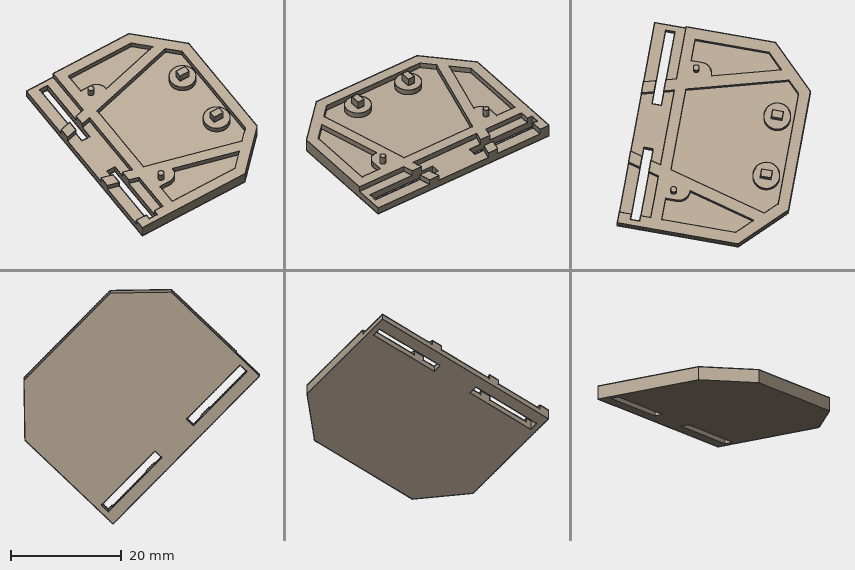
import cadquery as cq
import math

WIDTH = 38.0
DEPTH = 30.0
THICKNESS = 2.47
CORNER_CUT = 7.8
HALF_WIDTH = WIDTH / 2

FLOOR_HEIGHT = 1.4
RECESS_DEPTH = THICKNESS - FLOOR_HEIGHT
RIM = 2.0
CROSS_RIB_FRONT = 5.78
CROSS_RIB_BACK = CROSS_RIB_FRONT + RIM
RIB_ANGLE = math.radians(15.3)
RIB_SLOPE = math.tan(RIB_ANGLE)
RIB_INNER_AT_FRONT = 5.47
RIB_OUTER_AT_FRONT = RIB_INNER_AT_FRONT + RIM / math.cos(RIB_ANGLE)

TOTAL_HEIGHT = 4.0
DISC_X = 5.6
DISC_Y = 24.93
DISC_RADIUS = 2.45
KEY_WIDTH = 1.33
KEY_DEPTH = 1.98
PIN_X = 11.48
PIN_Y = 9.0
PIN_RADIUS = 0.55
PAD_SIDE_X = 12.95
PAD_TOP_Y = 11.9
PAD_RADIUS = RIM

SLOT_INNER_X = 4.1
SLOT_OUTER_X = 17.97
SLOT_FRONT_Y = 2.2
SLOT_BACK_Y = 3.9

INSET_CORNER_SUM = HALF_WIDTH + DEPTH - CORNER_CUT - RIM * math.sqrt(2)


def rib_inner_x(y):
    return RIB_INNER_AT_FRONT + RIB_SLOPE * y


def rib_outer_x(y):
    return RIB_OUTER_AT_FRONT + RIB_SLOPE * y


def inset_corner_point(rib_edge_at_front):
    """Point where an edge of the right-hand rib meets the inset corner line."""
    y = (INSET_CORNER_SUM - rib_edge_at_front) / (1 + RIB_SLOPE)
    return INSET_CORNER_SUM - y, y


def symmetric_prism(right_points, base, height):
    """Prism whose outline is the right-hand points and their mirror images."""
    left_points = [(-x, y) for x, y in reversed(right_points)]
    outline = cq.Workplane("XY", origin=(0, 0, base)).polyline(right_points + left_points)
    return outline.close().extrude(height)


def recess(points):
    outline = cq.Workplane("XY", origin=(0, 0, FLOOR_HEIGHT)).polyline(points)
    return outline.close().extrude(RECESS_DEPTH)


def box_between(x_start, x_end, y_start, y_end, base, top):
    corner_box = cq.Workplane("XY").box(x_end - x_start, y_end - y_start, top - base, centered=False)
    return corner_box.translate((x_start, y_start, base))


def central_recess():
    top_y = DEPTH - RIM
    points = [
        (rib_inner_x(CROSS_RIB_BACK), CROSS_RIB_BACK),
        inset_corner_point(RIB_INNER_AT_FRONT),
        (INSET_CORNER_SUM - top_y, top_y),
    ]
    return symmetric_prism(points, FLOOR_HEIGHT, RECESS_DEPTH)


def pin_pad():
    """Rounded pad joining the right-hand rib to the cross rib."""
    arc_x = PAD_SIDE_X - PAD_RADIUS
    arc_y = PAD_TOP_Y - PAD_RADIUS
    arc_middle = PAD_RADIUS / math.sqrt(2)
    rib_x = rib_inner_x(CROSS_RIB_BACK)
    return (
        cq.Workplane("XY", origin=(0, 0, FLOOR_HEIGHT))
        .moveTo(rib_x, CROSS_RIB_BACK)
        .lineTo(PAD_SIDE_X, CROSS_RIB_BACK)
        .lineTo(PAD_SIDE_X, arc_y)
        .threePointArc((arc_x + arc_middle, arc_y + arc_middle), (arc_x, PAD_TOP_Y))
        .lineTo(rib_x, PAD_TOP_Y)
        .close()
        .extrude(RECESS_DEPTH)
    )


def side_recess():
    """Right-hand recess between the rim and the rib, around the pin pad."""
    outer_x = HALF_WIDTH - RIM
    pocket = recess([
        (rib_outer_x(CROSS_RIB_BACK), CROSS_RIB_BACK),
        (outer_x, CROSS_RIB_BACK),
        (outer_x, INSET_CORNER_SUM - outer_x),
        inset_corner_point(RIB_OUTER_AT_FRONT),
    ])
    return pocket.cut(pin_pad())


def front_center_recess():
    points = [(rib_inner_x(0), 0), (rib_inner_x(CROSS_RIB_FRONT), CROSS_RIB_FRONT)]
    return symmetric_prism(points, FLOOR_HEIGHT, RECESS_DEPTH)


def front_side_recess(side, outer_x):
    """Front recess on one side (-1 left, +1 right), from the rib out to outer_x."""
    return recess([
        (side * rib_outer_x(0), 0),
        (side * outer_x, 0),
        (side * outer_x, CROSS_RIB_FRONT),
        (side * rib_outer_x(CROSS_RIB_FRONT), CROSS_RIB_FRONT),
    ])


def slot():
    return box_between(SLOT_INNER_X, SLOT_OUTER_X, SLOT_FRONT_Y, SLOT_BACK_Y, 0, THICKNESS)


def post(x, y, radius, top):
    return cq.Workplane("XY", origin=(x, y, FLOOR_HEIGHT)).circle(radius).extrude(top - FLOOR_HEIGHT)


def keyed_disc():
    """Round boss level with the rim, carrying a rectangular key."""
    half_width = KEY_WIDTH / 2
    half_depth = KEY_DEPTH / 2
    key = box_between(
        DISC_X - half_width, DISC_X + half_width,
        DISC_Y - half_depth, DISC_Y + half_depth,
        FLOOR_HEIGHT, TOTAL_HEIGHT,
    )
    return post(DISC_X, DISC_Y, DISC_RADIUS, THICKNESS).union(key)


def both_sides(right_body):
    return right_body.union(right_body.mirror("YZ"))


plate_points = [
    (HALF_WIDTH, 0),
    (HALF_WIDTH, DEPTH - CORNER_CUT),
    (HALF_WIDTH - CORNER_CUT, DEPTH),
]
plate = symmetric_prism(plate_points, 0, THICKNESS)

result = (
    plate
    .cut(central_recess())
    .cut(both_sides(side_recess()))
    .cut(front_center_recess())
    .cut(front_side_recess(-1, HALF_WIDTH))
    .cut(front_side_recess(1, HALF_WIDTH - RIM))
    .cut(both_sides(slot()))
    .union(both_sides(keyed_disc()))
    .union(both_sides(post(PIN_X, PIN_Y, PIN_RADIUS, TOTAL_HEIGHT)))
)